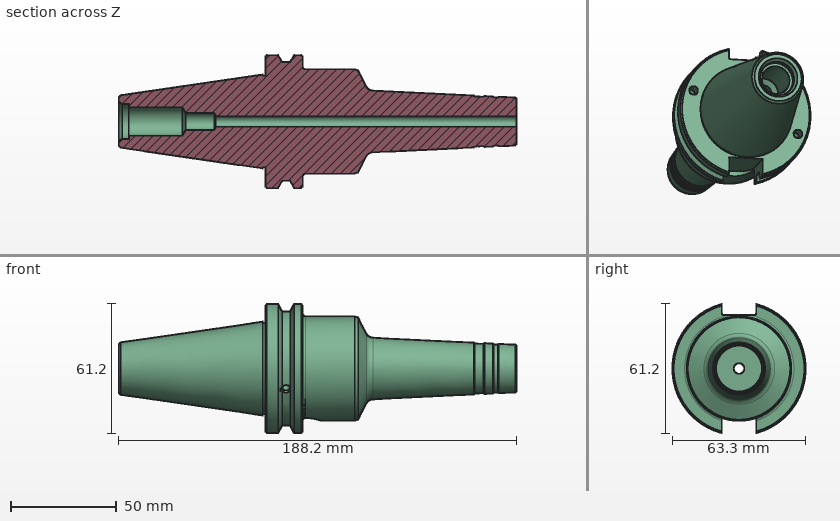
import cadquery as cq
import math

LENGTH = 188.2

TAPER_GAUGE_DIA = 44.6
TAPER_RATIO = 7 / 24
TAPER_END_X = 68.3
TAPER_SMALL_DIA = TAPER_GAUGE_DIA - TAPER_RATIO * TAPER_END_X
TAPER_CHAMFER = 1.0
RELIEF_DEPTH = 0.5

FLANGE_DIA = 63.3
FLANGE_START_X = 69.5
FLANGE_WIDTH = 17.7
FLANGE_END_X = FLANGE_START_X + FLANGE_WIDTH
FLANGE_CHAMFER = 0.8
GROOVE_DIA = 56.5
GROOVE_X = 79.3
GROOVE_FLOOR_WIDTH = 3.8
GROOVE_WALL_RUN = 1.9

SLOT_WIDTH = 16.2
SLOT_FILLET = 0.8
TOP_SLOT_FLOOR = 25.5
BOTTOM_SLOT_FLOOR = 22.4
BOTTOM_SLOT_END_X = 96.0
DIMPLE_DIA = 9.6
DIMPLE_X = 77.4
DRILL_POINT_ANGLE = 118.0

PORT_ANGLE = 20.0
PORT_RADIUS = 27.0
AXIAL_PORT_DIA = 4.1
AXIAL_PORT_DEPTH = 7.0
RADIAL_PORT_DIA = 4.0
RADIAL_PORT_DEPTH = 6.8

BODY_DIA = 49.5
BODY_ROOT_FILLET = 1.1
BODY_EDGE_START_X = 111.6
BODY_EDGE_END_X = 113.3
BODY_EDGE_DROP = 0.5
SHOULDER_END_X = 117.0
SHOULDER_END_DIA = 33.5

NOSE_ROOT_DIA = 29.4
NOSE_ROOT_X = 120.3
NOSE_TIP_DIA = 22.8
NOSE_TIP_CHAMFER = 0.5
NOSE_GROOVES = ((168.0, 173.2), (177.0, 180.0))
NOSE_GROOVE_DEPTH = 0.4
NOSE_GROOVE_WALL_RUN = 0.5

MOUTH_DIA = 18.8
COUNTERBORE_DIA = 16.4
MOUTH_DEPTH = 1.7
COUNTERBORE_DEPTH = 4.9
THREAD_DIA = 13.4
THREAD_DEPTH = 30.1
DUCT_DIA = 8.0
DUCT_DEPTH = 45.2
THROUGH_DIA = 4.9


def drill_point_length(diameter):
    return diameter / 2 / math.tan(math.radians(DRILL_POINT_ANGLE / 2))


def revolve_about_x(outline):
    return outline.close().revolve(360, (0, 0, 0), (1, 0, 0))


def make_shank():
    gauge_radius = TAPER_GAUGE_DIA / 2
    small_radius = TAPER_SMALL_DIA / 2
    relief_radius = gauge_radius - RELIEF_DEPTH
    chamfer_radius = small_radius + TAPER_RATIO / 2 * TAPER_CHAMFER
    outline = (
        cq.Workplane("XY")
        .lineTo(0, small_radius - TAPER_CHAMFER)
        .lineTo(TAPER_CHAMFER, chamfer_radius)
        .lineTo(TAPER_END_X, gauge_radius)
        .lineTo(TAPER_END_X, relief_radius)
        .lineTo(FLANGE_START_X, relief_radius)
        .lineTo(FLANGE_START_X, 0)
    )
    return revolve_about_x(outline)


def make_flange():
    flange = (
        cq.Workplane("YZ", origin=(FLANGE_START_X, 0, 0))
        .circle(FLANGE_DIA / 2)
        .extrude(FLANGE_WIDTH)
        .edges()
        .chamfer(FLANGE_CHAMFER)
    )
    half_floor = GROOVE_FLOOR_WIDTH / 2
    half_mouth = half_floor + GROOVE_WALL_RUN
    groove = (
        cq.Workplane("XY")
        .moveTo(GROOVE_X - half_floor, GROOVE_DIA / 2)
        .lineTo(GROOVE_X + half_floor, GROOVE_DIA / 2)
        .lineTo(GROOVE_X + half_mouth, FLANGE_DIA / 2)
        .lineTo(GROOVE_X - half_mouth, FLANGE_DIA / 2)
    )
    return flange.cut(revolve_about_x(groove))


def nose_radius(x):
    slope = (NOSE_ROOT_DIA - NOSE_TIP_DIA) / 2 / (LENGTH - NOSE_ROOT_X)
    return NOSE_ROOT_DIA / 2 - slope * (x - NOSE_ROOT_X)


def make_body_and_nose():
    body_radius = BODY_DIA / 2
    outline = (
        cq.Workplane("XY")
        .moveTo(FLANGE_END_X, 0)
        .lineTo(FLANGE_END_X, body_radius)
        .lineTo(BODY_EDGE_START_X, body_radius)
        .lineTo(BODY_EDGE_END_X, body_radius - BODY_EDGE_DROP)
        .lineTo(SHOULDER_END_X, SHOULDER_END_DIA / 2)
        .tangentArcPoint((NOSE_ROOT_X, NOSE_ROOT_DIA / 2), relative=False)
        .lineTo(LENGTH - NOSE_TIP_CHAMFER, nose_radius(LENGTH - NOSE_TIP_CHAMFER))
        .lineTo(LENGTH, nose_radius(LENGTH) - NOSE_TIP_CHAMFER)
        .lineTo(LENGTH, 0)
    )
    return revolve_about_x(outline)


def make_nose_groove(start_x, end_x):
    """Ring with sloped side walls; its floor follows the nose taper."""
    floor_start = start_x + NOSE_GROOVE_WALL_RUN
    floor_end = end_x - NOSE_GROOVE_WALL_RUN
    outline = (
        cq.Workplane("XY")
        .moveTo(start_x, nose_radius(start_x))
        .lineTo(floor_start, nose_radius(floor_start) - NOSE_GROOVE_DEPTH)
        .lineTo(floor_end, nose_radius(floor_end) - NOSE_GROOVE_DEPTH)
        .lineTo(end_x, nose_radius(end_x))
        .lineTo(end_x, BODY_DIA / 2)
        .lineTo(start_x, BODY_DIA / 2)
    )
    return revolve_about_x(outline)


def make_root_fillet():
    """Concave fillet between the flange face and the body."""
    root_radius = BODY_DIA / 2
    size = BODY_ROOT_FILLET
    bulge = size * (1 - math.sqrt(0.5))
    outline = (
        cq.Workplane("XY")
        .moveTo(FLANGE_END_X, root_radius)
        .lineTo(FLANGE_END_X, root_radius + size)
        .threePointArc((FLANGE_END_X + bulge, root_radius + bulge), (FLANGE_END_X + size, root_radius))
    )
    return revolve_about_x(outline)


def make_top_slot():
    return (
        cq.Workplane("XY", origin=(FLANGE_START_X, 0, TOP_SLOT_FLOOR))
        .rect(2 * FLANGE_WIDTH, SLOT_WIDTH)
        .extrude(FLANGE_DIA / 2)
        .translate((FLANGE_WIDTH / 2, 0, 0))
        .edges("|X and <Z")
        .fillet(SLOT_FILLET)
    )


def make_bottom_slot():
    """Slot with a half-round end that runs into the body."""
    half_width = SLOT_WIDTH / 2
    arc_center_x = BOTTOM_SLOT_END_X - half_width
    return (
        cq.Workplane("XY", origin=(0, 0, -BOTTOM_SLOT_FLOOR))
        .moveTo(TAPER_END_X, half_width)
        .lineTo(arc_center_x, half_width)
        .threePointArc((BOTTOM_SLOT_END_X, 0), (arc_center_x, -half_width))
        .lineTo(TAPER_END_X, -half_width)
        .close()
        .extrude(-FLANGE_DIA / 2)
    )


def make_dimple():
    radius = DIMPLE_DIA / 2
    depth = drill_point_length(DIMPLE_DIA)
    cone = cq.Solid.makeCone(
        radius, 0, depth, pnt=cq.Vector(DIMPLE_X, 0, TOP_SLOT_FLOOR), dir=cq.Vector(0, 0, -1))
    return cq.Workplane(cone)


def make_drill(start, direction, diameter, depth):
    """Drilled hole with a conical end below its full-diameter depth."""
    radius = diameter / 2
    tip_start = start + direction * depth
    shaft = cq.Solid.makeCylinder(radius, depth, start, direction)
    tip = cq.Solid.makeCone(radius, 0, drill_point_length(diameter), tip_start, direction)
    return cq.Workplane(shaft).union(cq.Workplane(tip))


def make_coolant_ports(side):
    """One axial port from the flange face and one radial port through the groove floor."""
    angle = math.radians(PORT_ANGLE)
    outward = cq.Vector(0, side * math.cos(angle), side * math.sin(angle))
    axial_start = cq.Vector(FLANGE_START_X, 0, 0) + outward * PORT_RADIUS
    radial_start = cq.Vector(GROOVE_X, 0, 0) + outward * (FLANGE_DIA / 2)
    axial = make_drill(axial_start, cq.Vector(1, 0, 0), AXIAL_PORT_DIA, AXIAL_PORT_DEPTH)
    radial = make_drill(radial_start, outward * -1, RADIAL_PORT_DIA, RADIAL_PORT_DEPTH)
    return axial.union(radial)


def make_bore():
    drill_cone = drill_point_length(THREAD_DIA) - drill_point_length(DUCT_DIA)
    duct_cone = drill_point_length(DUCT_DIA) - drill_point_length(THROUGH_DIA)
    outline = (
        cq.Workplane("XY")
        .lineTo(0, MOUTH_DIA / 2)
        .lineTo(MOUTH_DEPTH, COUNTERBORE_DIA / 2)
        .lineTo(COUNTERBORE_DEPTH, COUNTERBORE_DIA / 2)
        .lineTo(COUNTERBORE_DEPTH, THREAD_DIA / 2)
        .lineTo(THREAD_DEPTH, THREAD_DIA / 2)
        .lineTo(THREAD_DEPTH + drill_cone, DUCT_DIA / 2)
        .lineTo(DUCT_DEPTH, DUCT_DIA / 2)
        .lineTo(DUCT_DEPTH + duct_cone, THROUGH_DIA / 2)
        .lineTo(LENGTH, THROUGH_DIA / 2)
        .lineTo(LENGTH, 0)
    )
    return revolve_about_x(outline)


result = make_shank().union(make_flange()).union(make_body_and_nose()).union(make_root_fillet())
for groove_start, groove_end in NOSE_GROOVES:
    result = result.cut(make_nose_groove(groove_start, groove_end))
result = result.cut(make_top_slot()).cut(make_bottom_slot()).cut(make_dimple())
for port_side in (1, -1):
    result = result.cut(make_coolant_ports(port_side))
result = result.cut(make_bore())